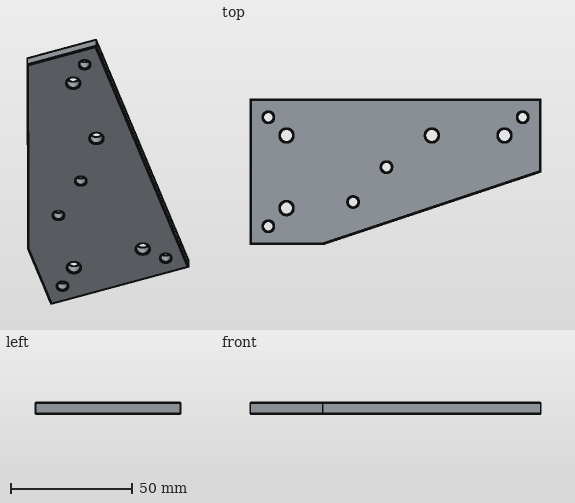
import cadquery as cq

length = 120.0
width = length / 2
thickness = 5.0
edge_chamfer = 0.43

pitch = length / 4
half_pitch = pitch / 2
corner_inset = pitch / 4

large_diameter = 5.3
small_diameter = 4.2
hole_chamfer = 0.42

upper_inner_hole = (56.3, 31.9)
lower_inner_hole = (42.5, 17.5)

large_holes = [
    (half_pitch, half_pitch),
    (half_pitch, width - half_pitch),
    (length - half_pitch - pitch, width - half_pitch),
    (length - half_pitch, width - half_pitch),
]
small_holes = [
    (corner_inset, corner_inset),
    (corner_inset, width - corner_inset),
    (length - corner_inset, width - corner_inset),
    upper_inner_hole,
    lower_inner_hole,
]


def make_plate():
    """Rectangular plate with one corner cut off, chamfered top and bottom."""
    outline = [
        (0, 0),
        (pitch, 0),
        (length, width - pitch),
        (length, width),
        (0, width),
    ]
    plate = cq.Workplane("XY").polyline(outline).close().extrude(thickness)
    return plate.faces("<Z or >Z").chamfer(edge_chamfer)


def drill_holes(plate, positions, diameter):
    """Cut through holes with a chamfer at both mouths."""
    radius = diameter / 2
    mouth_radius = radius + hole_chamfer
    half_profile = [
        (0, 0),
        (mouth_radius, 0),
        (radius, hole_chamfer),
        (radius, thickness - hole_chamfer),
        (mouth_radius, thickness),
        (0, thickness),
    ]
    cutter = cq.Workplane("XZ").polyline(half_profile).close().revolve(360, (0, 0), (0, 1))
    for x, y in positions:
        plate = plate.cut(cutter.translate((x, y, 0)))
    return plate


plate = make_plate()
plate = drill_holes(plate, large_holes, large_diameter)
result = drill_holes(plate, small_holes, small_diameter)